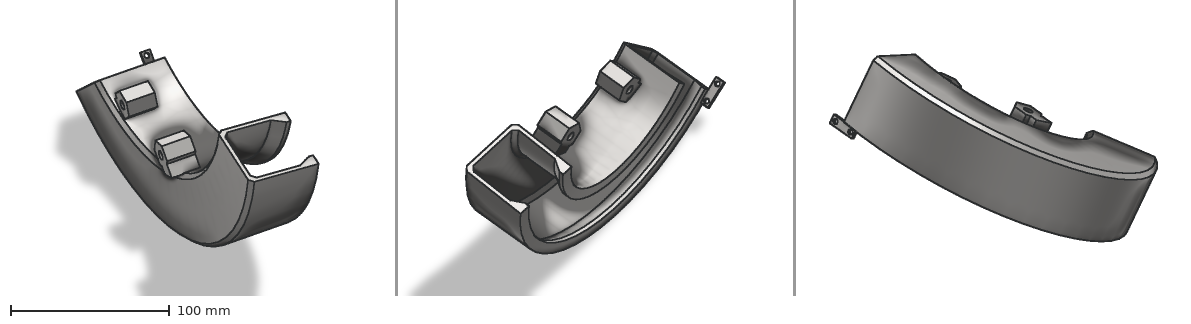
import cadquery as cq
import math


outer_radius = 130.2
inner_radius = 81.5
channel_depth = 48.2
wall = 3.0
corner_chamfer = 3.0
lip_thickness = 8.1
lip_flat = 3.0
lip_end = 11.5

rise_per_radian = 10.57
channel_angle = 125.0
overrun_angle = 10.0
upper_end_tilt = 5.5
lower_end_angle = -127.4
lower_end_offset = 3.2

boss_front = 7.5
boss_length = 19.9
boss_circumradius = 10.0
boss_hole_diameter = 6.0
boss_web_width = 11.7
boss_web_length = 25.6
boss_embed = 0.5
bosses = [
    (-23.5, -69.0, -126.0),
    (32.7, -60.6, -38.0),
]

tab_length = 19.2
tab_width = 6.5
tab_thickness = 2.3
tab_outer_radius = 128.7
tab_hole_diameter = 3.5
tab_hole_spacing = 13.0

trim_size = 427.0


def make_channel():
    """Helical sweep of the U section, built along Z and then laid along Y."""
    lip_start = channel_depth - lip_end
    lip_top = channel_depth - lip_flat
    inner_wall = inner_radius + wall
    outer_wall = outer_radius - wall
    section = (
        cq.Workplane("XZ")
        .moveTo(inner_radius, channel_depth)
        .lineTo(inner_radius, corner_chamfer)
        .lineTo(inner_radius + corner_chamfer, 0)
        .lineTo(outer_radius - corner_chamfer, 0)
        .lineTo(outer_radius, corner_chamfer)
        .lineTo(outer_radius, channel_depth)
        .lineTo(outer_radius - lip_thickness, channel_depth)
        .lineTo(outer_radius - lip_thickness, lip_top)
        .lineTo(outer_wall, lip_start)
        .lineTo(outer_wall, wall + corner_chamfer)
        .lineTo(outer_wall - corner_chamfer, wall)
        .lineTo(inner_wall + corner_chamfer, wall)
        .lineTo(inner_wall, wall + corner_chamfer)
        .lineTo(inner_wall, lip_start)
        .lineTo(inner_radius + lip_thickness, lip_top)
        .lineTo(inner_radius + lip_thickness, channel_depth)
        .close()
    )
    pitch = 2 * math.pi * rise_per_radian
    swept_angle = channel_angle + 2 * overrun_angle
    path = cq.Wire.makeHelix(pitch, pitch * swept_angle / 360, inner_radius, lefthand=True)
    start_drop = rise_per_radian * math.radians(overrun_angle)
    return (
        section.sweep(cq.Workplane(path), isFrenet=True)
        .rotate((0, 0, 0), (0, 0, 1), channel_angle + overrun_angle)
        .translate((0, 0, -start_drop))
        .rotate((0, 0, 0), (1, 0, 0), -90)
    )


def in_lower_end_frame(body):
    """Turn a body so its X axis runs along the lower end, outward from the helix axis."""
    return body.rotate((0, 0, 0), (0, 1, 0), -lower_end_angle)


def trim_ends(channel):
    """Cut the upper end square to the helix and the lower end parallel to Y."""
    upper_middle = rise_per_radian * math.radians(channel_angle) + channel_depth / 2
    above = (
        cq.Workplane("XY")
        .box(trim_size, trim_size, trim_size, centered=(False, True, False))
        .rotate((0, 0, 0), (1, 0, 0), -upper_end_tilt)
        .translate((0, upper_middle, 0))
    )
    beyond = (
        cq.Workplane("XY")
        .box(trim_size, trim_size, trim_size, centered=(False, True, False))
        .mirror("XY")
        .translate((0, 0, lower_end_offset))
    )
    return channel.cut(above).cut(in_lower_end_frame(beyond))


def make_boss(center_x, center_z, web_direction):
    """Hexagonal boss with a vertex and a web pointing at the channel wall."""
    hexagon = cq.Workplane("XY").polygon(6, 2 * boss_circumradius).extrude(boss_length)
    web = cq.Workplane("XY").box(
        boss_web_length, boss_web_width, boss_length, centered=(False, True, False)
    )
    hole = cq.Workplane("XY").circle(boss_hole_diameter / 2).extrude(boss_length)
    boss = (
        hexagon.union(web)
        .cut(hole)
        .rotate((0, 0, 0), (1, 0, 0), -90)
        .rotate((0, 0, 0), (0, 1, 0), -web_direction)
        .translate((center_x, boss_front, center_z))
    )
    envelope = cq.Workplane("XZ").circle(inner_radius + boss_embed).extrude(-trim_size)
    return boss.intersect(envelope)


def make_tab():
    """Flat strip straddling the lower end, behind the outer wall."""
    return in_lower_end_frame(
        cq.Workplane("YZ")
        .rect(tab_width, tab_length)
        .extrude(tab_thickness)
        .faces(">X")
        .workplane(centerOption="CenterOfBoundBox")
        .rarray(2.1, tab_hole_spacing, 1, 2)
        .hole(tab_hole_diameter)
        .translate((tab_outer_radius - tab_thickness, channel_depth + tab_width / 2, lower_end_offset))
    )


result = trim_ends(make_channel())
for boss in bosses:
    result = result.union(make_boss(*boss))
result = result.union(make_tab())